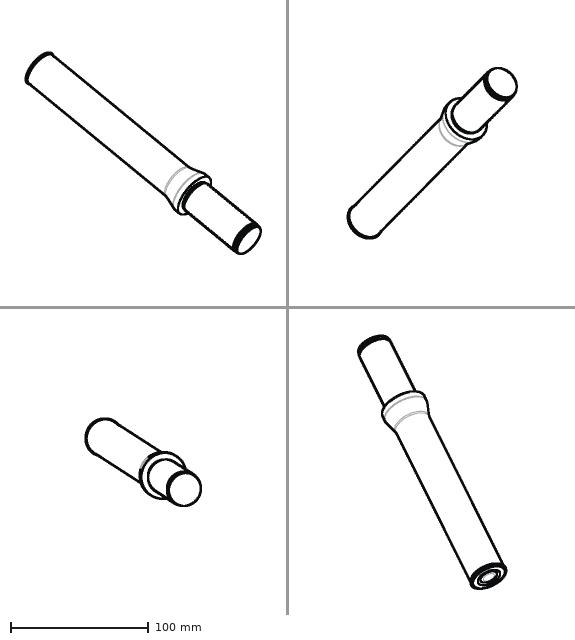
import cadquery as cq

total_length = 218.0
bead_rise = 0.7
bead_crest = 0.7
bead_blend = 0.9
collar_start = 144.0
flare_length = 11.0
collar_band = 4.5
neck_length = 1.7
tail_length = 3.3

shank_diameter = 27.0
bead_diameter = 28.1
collar_diameter = 34.0
neck_diameter = 24.5
tail_diameter = 25.0
sleeve_diameter = 25.5

flare_lead = 1.3
flare_lead_rise = 0.2
rim_chamfer_length = 0.7
rim_chamfer_depth = 0.1
tail_chamfer = 0.5
tail_chamfer_length = 1.3
sleeve_chamfer = 0.5

outer_ring_diameter = 17.7
inner_ring_diameter = 13.0
center_diameter = 8.7
face_diameter = 25.3
ring_depth = 0.7
ridge_depth = 0.2
face_dish = 0.2

bead_start = face_dish + bead_rise
bead_end = bead_start + bead_crest
flare_end = collar_start + flare_lead + flare_length + rim_chamfer_length
collar_end = flare_end + collar_band
sleeve_start = collar_end + neck_length
sleeve_end = total_length - tail_length


def revolved(profile):
    """Turn a list of (x, radius) points into a solid of revolution about X."""
    return cq.Workplane("XY").polyline(profile).close().revolve(360, (0, 0, 0), (1, 0, 0))


def make_core():
    """Rolled end, shank, flared collar, neck and tail, turned in one piece."""
    return revolved([
        (ring_depth, 0),
        (ridge_depth, center_diameter / 2),
        (ring_depth, inner_ring_diameter / 2),
        (0, outer_ring_diameter / 2),
        (face_dish, face_diameter / 2),
        (bead_start, bead_diameter / 2),
        (bead_end, bead_diameter / 2),
        (bead_end + bead_blend, shank_diameter / 2),
        (collar_start, shank_diameter / 2),
        (collar_start + flare_lead, shank_diameter / 2 + flare_lead_rise),
        (flare_end - rim_chamfer_length, collar_diameter / 2 - rim_chamfer_depth),
        (flare_end, collar_diameter / 2),
        (collar_end, collar_diameter / 2),
        (collar_end, neck_diameter / 2),
        (sleeve_end, neck_diameter / 2),
        (sleeve_end, tail_diameter / 2),
        (total_length - tail_chamfer_length, tail_diameter / 2),
        (total_length, tail_diameter / 2 - tail_chamfer),
        (total_length, 0),
    ])


def make_sleeve():
    """Thin sleeve seated between the collar neck and the tail."""
    return revolved([
        (sleeve_start, neck_diameter / 2),
        (sleeve_start + sleeve_chamfer, sleeve_diameter / 2),
        (sleeve_end - sleeve_chamfer, sleeve_diameter / 2),
        (sleeve_end, tail_diameter / 2),
        (sleeve_end, neck_diameter / 2),
    ])


core = make_core()
sleeve = make_sleeve()
result = cq.Compound.makeCompound([core.val(), sleeve.val()])